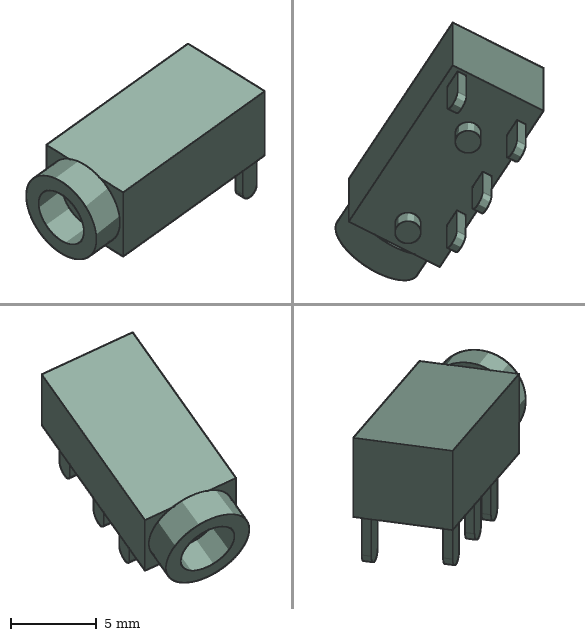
import cadquery as cq

total_length = 14.1
barrel_length = 2.0
body_length = total_length - barrel_length
body_width = 6.1
body_height = 5.0

barrel_diameter = 5.6
bore_diameter = 3.6
bore_depth = barrel_length

pin_thickness = 0.59
pin_width = 1.2
pin_length = 3.0
pin_offset_x = 2.31
left_pin_positions = (3.2, 6.2, 10.2)
right_pin_positions = (11.3,)

post_diameter = 1.5
post_length = 1.0
post_positions = (1.6, 8.6)


def make_body():
    return cq.Workplane("XY").box(
        body_width, body_length, body_height, centered=(True, False, False)
    )


def make_front_cylinder(diameter, length):
    """Cylinder running rearward from the front face of the barrel."""
    front_plane = cq.Workplane("XZ", origin=(0, -barrel_length, body_height / 2))
    return front_plane.circle(diameter / 2).extrude(-length)


def make_pin(x, y):
    tip_radius = pin_width / 2
    tip_start = tip_radius - pin_length
    return (
        cq.Workplane("YZ", origin=(x, y, 0))
        .moveTo(-tip_radius, 0)
        .lineTo(-tip_radius, tip_start)
        .threePointArc((0, -pin_length), (tip_radius, tip_start))
        .lineTo(tip_radius, 0)
        .close()
        .extrude(pin_thickness / 2, both=True)
    )


def make_post(y):
    return cq.Workplane("XY", origin=(0, y, 0)).circle(post_diameter / 2).extrude(-post_length)


result = make_body().union(make_front_cylinder(barrel_diameter, barrel_length))
result = result.cut(make_front_cylinder(bore_diameter, bore_depth))

for pin_y in left_pin_positions:
    result = result.union(make_pin(-pin_offset_x, pin_y))
for pin_y in right_pin_positions:
    result = result.union(make_pin(pin_offset_x, pin_y))

for post_y in post_positions:
    result = result.union(make_post(post_y))